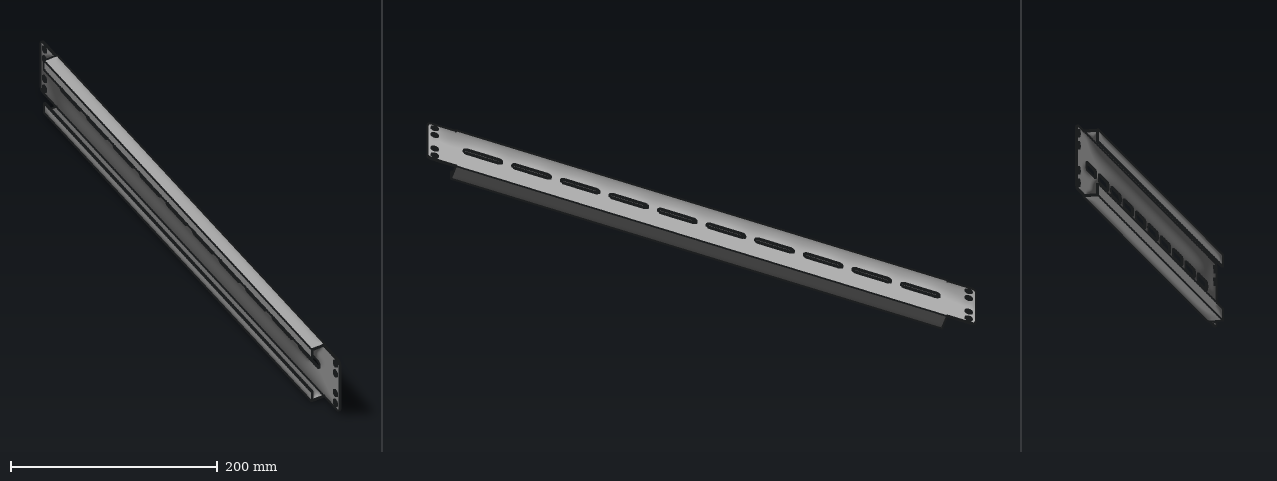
import cadquery as cq

length = 564.0
depth = 15.0
height = 66.0
thickness = 1.5

channel_length = 505.5
lip_height = 12.0

tab_height = 63.0
tab_corner_radius = 4.5
hole_diameter = 7.0
hole_edge_distance = 7.5
inner_hole_height = 12.5
outer_hole_height = 2 * inner_hole_height

slot_count = 10
slot_row_span = 450.0
slot_pitch = slot_row_span / (slot_count - 1)
slot_length = 40.0
slot_width = 8.5


def make_channel():
    """C-section with its back on Y = 0 and its open side toward -Y."""
    outer = cq.Workplane("XY").box(channel_length, depth, height).translate((0, -depth / 2, 0))
    inner_depth = depth - 2 * thickness
    inside = (
        cq.Workplane("XY")
        .box(channel_length, inner_depth, height - 2 * thickness)
        .translate((0, -depth / 2, 0))
    )
    mouth = (
        cq.Workplane("XY")
        .box(channel_length, 2 * thickness, height - 2 * lip_height)
        .translate((0, -depth, 0))
    )
    return outer.cut(inside).cut(mouth)


def make_back_plate():
    """Full-length plate with rounded corners, forming the end tabs."""
    plate = cq.Workplane("XZ").rect(length, tab_height).extrude(thickness)
    return plate.edges("|Y").fillet(tab_corner_radius)


def make_slots():
    return (
        cq.Workplane("XZ")
        .rarray(slot_pitch, 5.5, slot_count, 1)
        .slot2D(slot_length, slot_width)
        .extrude(thickness)
    )


def make_mounting_holes():
    hole_x = length / 2 - hole_edge_distance
    centers = [
        (x, z)
        for x in (-hole_x, hole_x)
        for z in (-outer_hole_height, -inner_hole_height, inner_hole_height, outer_hole_height)
    ]
    return cq.Workplane("XZ").pushPoints(centers).circle(hole_diameter / 2).extrude(thickness)


rail = make_channel().union(make_back_plate())
result = rail.cut(make_slots()).cut(make_mounting_holes())